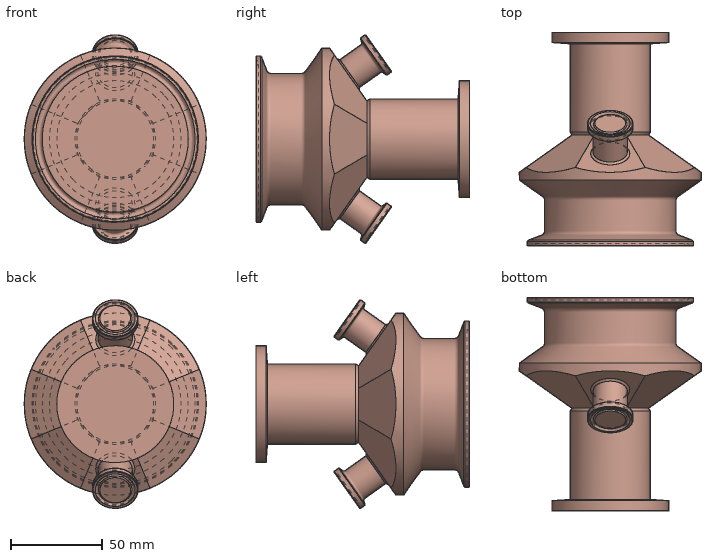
import cadquery as cq
import math

length = 116.7
body_radius = 99.5 / 2
neck_radius = 72.0 / 2
tube_radius = 44.0 / 2
slope_angle = math.radians(35.3)

clamp_radius = 91.0 / 2
clamp_edge_chamfer = 0.4
clamp_rim = 2.5
clamp_cone_start = 3.2
clamp_cone_radius = clamp_radius - 0.7
clamp_cone_end = 6.5
neck_fillet = 2.3
groove_outer = 43.6
groove_floor_outer = 42.7
groove_floor_inner = 40.6
groove_inner = 39.9
groove_wall_depth = 0.9
groove_depth = 1.4

body_start = 36.0
neck_end = body_start - (body_radius - neck_radius) * math.tan(slope_angle)
shoulder_end = 60.6
facet_count = 8
facet_apothem_end = 21.0

tube_start = 62.2
flange_radius = 64.0 / 2
flange_thickness = 5.6
flange_hub = 0.7

port_radius = 18.7 / 2
port_flange_radius = 25.0 / 2
port_length = 20.3
port_offset = 17.5
port_rim = 3.3
port_edge_chamfer = 0.4
port_cone_start = 3.6
port_cone_radius = port_flange_radius - 0.4
port_cone_end = 4.5
port_fillet = 1.2
weld_radius = 21.4 / 2
weld_height = 0.9
port_root = 4.7
port_groove_outer = 21.8 / 2
port_groove_floor_outer = 10.4
port_groove_floor_inner = 9.1
port_groove_inner = 8.4
port_groove_wall_depth = 0.7
port_groove_depth = 1.2


def revolve_about_y(profile):
    """Revolve a closed (radius, Y) outline about the Y axis."""
    return profile.close().revolve(360, (0, 0, 0), (0, 1, 0))


def face_groove(outer, floor_outer, floor_inner, inner, wall_depth, depth):
    """Ring groove with sloped walls and a round floor, cut toward +Y from Y = 0."""
    return revolve_about_y(
        cq.Workplane("XY")
        .moveTo(outer, 0)
        .lineTo(floor_outer, wall_depth)
        .threePointArc(((floor_outer + floor_inner) / 2, depth), (floor_inner, wall_depth))
        .lineTo(inner, 0)
    )


def neck_blend(pipe_radius, corner_y, cone_tilt, fillet, pipe_side):
    """Start, middle and end of the arc from a cone onto a round pipe.

    The cone, tilted from the radial direction, would meet the pipe at corner_y.
    The pipe lies toward +Y for pipe_side 1 and toward -Y for -1.
    """
    turn = math.pi / 2 - cone_tilt
    tangent = fillet * math.tan(turn / 2)
    on_cone = (
        pipe_radius + tangent * math.cos(cone_tilt),
        corner_y - pipe_side * tangent * math.sin(cone_tilt),
    )
    on_pipe = (pipe_radius, corner_y + pipe_side * tangent)
    middle = (
        pipe_radius + fillet * (1 - math.cos(turn / 2)),
        on_pipe[1] - pipe_side * fillet * math.sin(turn / 2),
    )
    return on_cone, middle, on_pipe


def ferrule_outline(radius, chamfer, rim, cone_radius, cone_start, cone_end, pipe_radius, fillet):
    """Open outline from the center of a ferrule face, over its rim and cone, onto its pipe."""
    cone_tilt = math.atan2(cone_end - cone_start, cone_radius - pipe_radius)
    on_cone, middle, on_pipe = neck_blend(pipe_radius, cone_end, cone_tilt, fillet, 1)
    return (
        cq.Workplane("XY")
        .moveTo(0, 0)
        .lineTo(radius - chamfer, 0)
        .lineTo(radius, chamfer)
        .lineTo(radius, rim)
        .lineTo(cone_radius, cone_start)
        .lineTo(*on_cone)
        .threePointArc(middle, on_pipe)
    )


def make_front():
    """Wide ferrule, neck, flared cone and the round band of the body."""
    on_flare, middle, on_neck = neck_blend(neck_radius, neck_end, slope_angle, neck_fillet, -1)
    solid = revolve_about_y(
        ferrule_outline(
            clamp_radius, clamp_edge_chamfer, clamp_rim, clamp_cone_radius,
            clamp_cone_start, clamp_cone_end, neck_radius, neck_fillet,
        )
        .lineTo(*on_neck)
        .threePointArc(middle, on_flare)
        .lineTo(body_radius, body_start)
        .lineTo(body_radius, shoulder_end)
        .lineTo(0, shoulder_end)
    )
    groove = face_groove(
        groove_outer, groove_floor_outer, groove_floor_inner, groove_inner,
        groove_wall_depth, groove_depth,
    )
    return solid.cut(groove)


def octagon(y, apothem):
    """Closed wire with two sides square to Z, in the plane at the given Y."""
    radius = apothem / math.cos(math.pi / facet_count)
    corners = []
    for index in range(facet_count):
        angle = (2 * index + 1) * math.pi / facet_count
        corners.append(cq.Vector(radius * math.cos(angle), y, radius * math.sin(angle)))
    return cq.Wire.makePolygon(corners, close=True)


def make_facet_envelope():
    """Faceted pyramid that trims the rear shoulder into eight flats."""
    apothem_at_origin = facet_apothem_end + shoulder_end / math.tan(slope_angle)
    pyramid = cq.Solid.makeLoft(
        [octagon(0, apothem_at_origin), octagon(shoulder_end, facet_apothem_end)], True
    )
    return cq.Workplane(obj=pyramid)


def make_rear():
    """Tube with a chamfered root and a plain flange."""
    flange_front = length - flange_thickness
    return revolve_about_y(
        cq.Workplane("XY")
        .moveTo(0, shoulder_end)
        .lineTo(facet_apothem_end, shoulder_end)
        .lineTo(tube_radius, tube_start)
        .lineTo(tube_radius, flange_front - flange_hub)
        .lineTo(flange_radius, flange_front)
        .lineTo(flange_radius, length)
        .lineTo(0, length)
    )


def make_port():
    """Small ferrule on the top facet, first built along +Y from its open face."""
    port = revolve_about_y(
        ferrule_outline(
            port_flange_radius, port_edge_chamfer, port_rim, port_cone_radius,
            port_cone_start, port_cone_end, port_radius, port_fillet,
        )
        .lineTo(port_radius, port_length - weld_height)
        .lineTo(weld_radius, port_length)
        .lineTo(weld_radius, port_length + port_root)
        .lineTo(0, port_length + port_root)
    )
    groove = face_groove(
        port_groove_outer, port_groove_floor_outer, port_groove_floor_inner, port_groove_inner,
        port_groove_wall_depth, port_groove_depth,
    )
    base_y = shoulder_end - port_offset * math.sin(slope_angle)
    base_z = facet_apothem_end + port_offset * math.cos(slope_angle)
    return (
        port.cut(groove)
        .translate((0, -port_length, 0))
        .rotate((0, 0, 0), (1, 0, 0), 180 + math.degrees(slope_angle))
        .translate((0, base_y, base_z))
    )


body = make_front().intersect(make_facet_envelope()).union(make_rear())
top_port = make_port()
result = body.union(top_port).union(top_port.mirror("XY"))